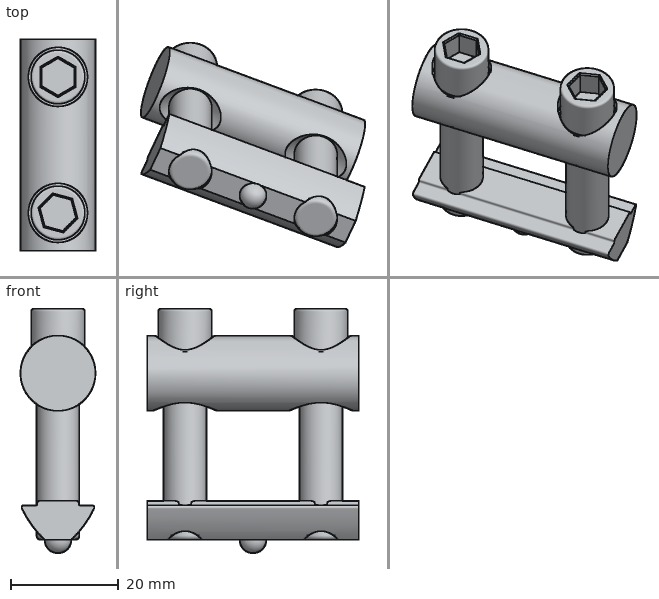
import cadquery as cq
import math

BAR_DIAMETER = 14.0
BAR_LENGTH = 39.4
BAR_RADIUS = BAR_DIAMETER / 2

SCREW_Y = 12.65
SHANK_DIAMETER = 8.0
SHANK_TIP_FILLET = 0.8
HEAD_DIAMETER = 10.0
HEAD_HEIGHT = 8.0
HEAD_TOP_Z = 12.0
HEAD_FILLET = 0.5
HEAD_SEAT_Z = HEAD_TOP_Z - HEAD_HEIGHT
HEX_ACROSS_FLATS = 6.0
HEX_DEPTH = 5.0
HEX_CHAMFER = 0.27
FRONT_HEX_TURN = 15.0
BACK_HEX_TURN = 0.0

COUNTERBORE_DIAMETER = 11.0
COUNTERSINK_DIAMETER = 11.82

NUT_TOP_Z = -23.75
NUT_SHOULDER_Z = -24.55
NUT_BOTTOM_Z = -30.95
LAND_HALF_WIDTH = 3.8
LAND_EDGE_FILLET = 0.3
LAND_ROOT_FILLET = 0.3
NUT_TIP_HALF_WIDTH = 7.0
NUT_TIP_FILLET = 0.4
NUT_BOTTOM_HALF_WIDTH = 2.45
FLANK_BULGE = 0.4
BALL_DIAMETER = 5.0


def vertical_cylinder(diameter, bottom_z, top_z, y):
    """Cylinder parallel to Z, on the X = 0 plane."""
    return (
        cq.Workplane("XY", origin=(0, y, bottom_z))
        .circle(diameter / 2)
        .extrude(top_z - bottom_z)
    )


def make_screw_hole(y):
    """Shank bore with a counterbore above and a 90 degree countersink below."""
    bore = vertical_cylinder(SHANK_DIAMETER, -BAR_RADIUS, BAR_RADIUS, y)
    counterbore = vertical_cylinder(COUNTERBORE_DIAMETER, HEAD_SEAT_Z, BAR_RADIUS, y)
    countersink_radius = COUNTERSINK_DIAMETER / 2
    bore_radius = SHANK_DIAMETER / 2
    countersink = cq.Workplane("XY").add(
        cq.Solid.makeCone(
            countersink_radius,
            bore_radius,
            countersink_radius - bore_radius,
            pnt=cq.Vector(0, y, -BAR_RADIUS),
        )
    )
    return bore.union(counterbore).union(countersink)


def make_clamping_bar():
    bar = cq.Workplane("XZ").circle(BAR_RADIUS).extrude(BAR_LENGTH / 2, both=True)
    for y in (-SCREW_Y, SCREW_Y):
        bar = bar.cut(make_screw_hole(y))
    return bar


def make_hex_socket(y, turn):
    """Hexagonal socket with a chamfered mouth; at zero turn two corners lie along Y."""
    across_corners = HEX_ACROSS_FLATS / math.cos(math.pi / 6)
    mouth_corners = (HEX_ACROSS_FLATS + 2 * HEX_CHAMFER) / math.cos(math.pi / 6)
    top = (
        cq.Workplane("XY", origin=(0, y, HEAD_TOP_Z))
        .transformed(rotate=(0, 0, 90 + turn))
    )
    recess = top.polygon(6, across_corners).extrude(-HEX_DEPTH)
    mouth = (
        top.polygon(6, mouth_corners)
        .workplane(offset=-HEX_CHAMFER)
        .polygon(6, across_corners)
        .loft(ruled=True)
    )
    return recess.union(mouth)


def make_screw(y, socket_turn):
    shank = vertical_cylinder(SHANK_DIAMETER, NUT_BOTTOM_Z, HEAD_SEAT_Z, y)
    shank = shank.faces("<Z").edges().fillet(SHANK_TIP_FILLET)
    head = vertical_cylinder(HEAD_DIAMETER, HEAD_SEAT_Z, HEAD_TOP_Z, y)
    head = head.faces(">Z").edges().fillet(HEAD_FILLET)
    return shank.union(head).cut(make_hex_socket(y, socket_turn))


def flank_midpoint():
    """Middle of the right flank arc, pushed outward from its chord."""
    run = NUT_TIP_HALF_WIDTH - NUT_BOTTOM_HALF_WIDTH
    rise = NUT_SHOULDER_Z - NUT_BOTTOM_Z
    chord = math.hypot(run, rise)
    x = (NUT_TIP_HALF_WIDTH + NUT_BOTTOM_HALF_WIDTH) / 2 + FLANK_BULGE * rise / chord
    z = (NUT_SHOULDER_Z + NUT_BOTTOM_Z) / 2 - FLANK_BULGE * run / chord
    return x, z


def nut_edges(nut, half_width, z):
    """The pair of lengthwise edges at the given half width and height."""
    return nut.edges("|Y").filter(
        lambda edge: math.isclose(abs(edge.Center().x), half_width, abs_tol=0.005)
        and math.isclose(edge.Center().z, z, abs_tol=0.005)
    )


def make_slot_nut():
    flank_x, flank_z = flank_midpoint()
    nut = (
        cq.Workplane("XZ")
        .moveTo(-LAND_HALF_WIDTH, NUT_TOP_Z)
        .lineTo(LAND_HALF_WIDTH, NUT_TOP_Z)
        .lineTo(LAND_HALF_WIDTH, NUT_SHOULDER_Z)
        .lineTo(NUT_TIP_HALF_WIDTH, NUT_SHOULDER_Z)
        .threePointArc((flank_x, flank_z), (NUT_BOTTOM_HALF_WIDTH, NUT_BOTTOM_Z))
        .lineTo(-NUT_BOTTOM_HALF_WIDTH, NUT_BOTTOM_Z)
        .threePointArc((-flank_x, flank_z), (-NUT_TIP_HALF_WIDTH, NUT_SHOULDER_Z))
        .lineTo(-LAND_HALF_WIDTH, NUT_SHOULDER_Z)
        .close()
        .extrude(BAR_LENGTH / 2, both=True)
    )
    nut = nut_edges(nut, LAND_HALF_WIDTH, NUT_TOP_Z).fillet(LAND_EDGE_FILLET)
    nut = nut_edges(nut, LAND_HALF_WIDTH, NUT_SHOULDER_Z).fillet(LAND_ROOT_FILLET)
    nut = nut_edges(nut, NUT_TIP_HALF_WIDTH, NUT_SHOULDER_Z).fillet(NUT_TIP_FILLET)
    ball = cq.Workplane("XY", origin=(0, 0, NUT_BOTTOM_Z)).sphere(BALL_DIAMETER / 2)
    return nut.union(ball)


def make_screwed_nut():
    """Slot nut and its two screws, joined as one body.

    Each nut hole is cut first, so it stays open around the rounded screw tip.
    """
    body = make_slot_nut()
    for y, turn in ((-SCREW_Y, FRONT_HEX_TURN), (SCREW_Y, BACK_HEX_TURN)):
        nut_hole = vertical_cylinder(SHANK_DIAMETER, NUT_BOTTOM_Z, NUT_TOP_Z, y)
        body = body.cut(nut_hole).union(make_screw(y, turn))
    return body


clamping_bar = make_clamping_bar()
screwed_nut = make_screwed_nut()

result = cq.Compound.makeCompound([clamping_bar.val(), screwed_nut.val()])